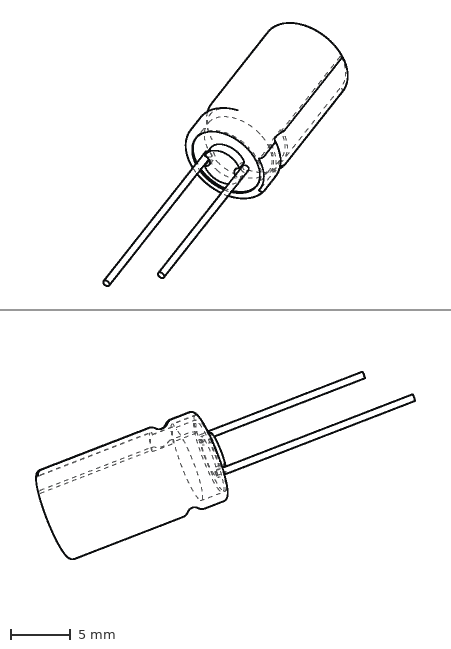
import cadquery as cq
import math


can_radius = 4.0
can_back_y = 16.0
can_front_y = 1.7
end_fillet = 0.4

groove_y = 4.77
groove_depth = 0.45
groove_radius = 0.75
shoulder_radius = 0.58

stripe_angle = 60.0
stripe_groove_thickness = 0.15

seal_radius = 3.23
seal_recess = 0.2
seal_depth = 1.92
boss_radius = 1.75
boss_end_y = 1.02
notch_radius = 0.6

lead_diameter = 0.6
lead_pitch = 3.55
long_lead_end_y = -16.0
short_lead_end_y = -12.95

flat_radius = can_radius - end_fillet
groove_floor_radius = can_radius - groove_depth
seal_face_y = can_front_y + seal_recess
arc_sum = groove_radius + shoulder_radius
groove_angle = math.acos(1 - groove_depth / arc_sum)
groove_half_width = arc_sum * math.sin(groove_angle)
lead_ends = [(-lead_pitch / 2, long_lead_end_y), (lead_pitch / 2, short_lead_end_y)]


def arc_point(center, radius, angle):
    """Point on an arc, with the angle measured from +X toward +Y."""
    return center[0] + radius * math.cos(angle), center[1] + radius * math.sin(angle)


def can_side_profile():
    """Open XY outline of the can side, from the front flat to the back flat."""
    front_fillet = (flat_radius, can_front_y + end_fillet)
    back_fillet = (flat_radius, can_back_y - end_fillet)
    front_shoulder = (can_radius - shoulder_radius, groove_y - groove_half_width)
    back_shoulder = (can_radius - shoulder_radius, groove_y + groove_half_width)
    groove = (groove_floor_radius + groove_radius, groove_y)
    half = groove_angle / 2
    eighth = math.pi / 4
    return (
        cq.Workplane("XY")
        .moveTo(flat_radius, can_front_y)
        .threePointArc(arc_point(front_fillet, end_fillet, -eighth), (can_radius, front_fillet[1]))
        .lineTo(can_radius, front_shoulder[1])
        .threePointArc(
            arc_point(front_shoulder, shoulder_radius, half),
            arc_point(front_shoulder, shoulder_radius, groove_angle),
        )
        .threePointArc(
            arc_point(groove, groove_radius, math.pi + half),
            (groove_floor_radius, groove_y),
        )
        .threePointArc(
            arc_point(groove, groove_radius, math.pi - half),
            arc_point(back_shoulder, shoulder_radius, -groove_angle),
        )
        .threePointArc(
            arc_point(back_shoulder, shoulder_radius, -half),
            (can_radius, back_shoulder[1]),
        )
        .lineTo(can_radius, back_fillet[1])
        .threePointArc(arc_point(back_fillet, end_fillet, eighth), (flat_radius, can_back_y))
    )


def make_stripe():
    """Sector of the can's outer skin, ending at the inner edges of the end fillets."""
    inner_groove_radius = groove_floor_radius - stripe_groove_thickness
    return (
        can_side_profile()
        .lineTo(flat_radius, groove_y + groove_half_width)
        .lineTo(inner_groove_radius, groove_y + groove_half_width)
        .lineTo(inner_groove_radius, groove_y - groove_half_width)
        .lineTo(flat_radius, groove_y - groove_half_width)
        .close()
        .revolve(stripe_angle, (0, 0, 0), (0, 1, 0))
        .rotate((0, 0, 0), (0, 1, 0), -stripe_angle / 2)
    )


def cylinder_along_y(radius, start_y, end_y, x=0):
    """Cylinder running from start_y toward -Y to end_y."""
    return (
        cq.Workplane("XZ", origin=(x, start_y, 0))
        .circle(radius)
        .extrude(start_y - end_y)
    )


def make_can(stripe):
    """Can with a pocket for the seal and a recess for the stripe."""
    body = (
        can_side_profile()
        .lineTo(0, can_back_y)
        .lineTo(0, can_front_y)
        .close()
        .revolve(360, (0, 0, 0), (0, 1, 0))
    )
    pocket = cylinder_along_y(seal_radius, seal_face_y + seal_depth, can_front_y)
    return body.cut(pocket).cut(stripe)


def make_seal():
    """Plug with a central boss, notched around each lead."""
    plug = cylinder_along_y(seal_radius, seal_face_y + seal_depth, seal_face_y)
    boss = cylinder_along_y(boss_radius, seal_face_y, boss_end_y)
    for x, _ in lead_ends:
        boss = boss.cut(cylinder_along_y(notch_radius, seal_face_y, boss_end_y, x))
    return plug.union(boss)


def make_lead(x, end_y):
    """Straight round lead standing on the seal face."""
    return cylinder_along_y(lead_diameter / 2, seal_face_y, end_y, x)


stripe = make_stripe()
can = make_can(stripe)
seal = make_seal()
leads = [make_lead(x, end_y) for x, end_y in lead_ends]

result = cq.Compound.makeCompound(
    [*can.solids().vals(), stripe.val(), *seal.solids().vals(), *[lead.val() for lead in leads]]
)